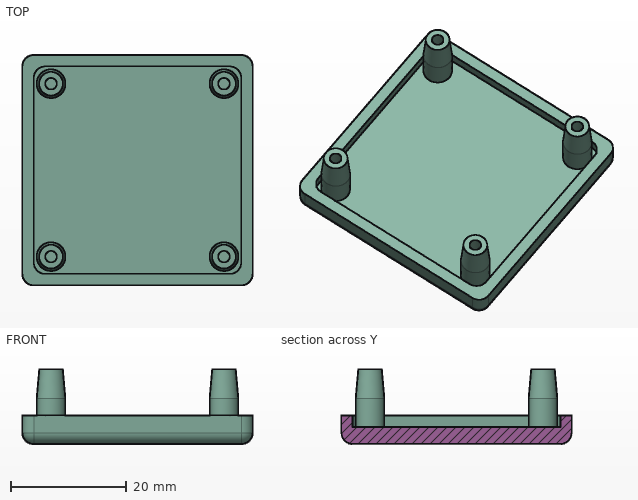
import cadquery as cq

side = 40.0
tray_height = 5.0
wall = 2.0
floor = 3.0
outer_radius = 2.0
pocket_radius = 2.0

total_height = 13.0
post_spacing = 30.0
post_diameter = 5.0
post_tip_diameter = 4.1
taper_height = 5.0
hole_diameter = 2.0


def make_tray():
    """Square tray with rounded corners and a rounded bottom edge."""
    body = cq.Workplane("XY").box(side, side, tray_height, centered=(True, True, False))
    body = body.edges("|Z").fillet(outer_radius)
    body = body.faces("<Z").edges().fillet(outer_radius)
    pocket_side = side - 2 * wall
    pocket = (
        cq.Workplane("XY", origin=(0, 0, floor))
        .rect(pocket_side, pocket_side)
        .extrude(tray_height - floor)
        .edges("|Z")
        .fillet(pocket_radius)
    )
    return body.cut(pocket)


def make_post():
    """Hollow round post with a cylindrical base and a tapered tip."""
    taper_start = total_height - taper_height
    profile = [
        (hole_diameter / 2, floor),
        (post_diameter / 2, floor),
        (post_diameter / 2, taper_start),
        (post_tip_diameter / 2, total_height),
        (hole_diameter / 2, total_height),
    ]
    return cq.Workplane("XZ").polyline(profile).close().revolve(360, (0, 0, 0), (0, 1, 0))


result = make_tray()
post = make_post()
for x_sign in (-1, 1):
    for y_sign in (-1, 1):
        offset = (x_sign * post_spacing / 2, y_sign * post_spacing / 2, 0)
        result = result.union(post.translate(offset))